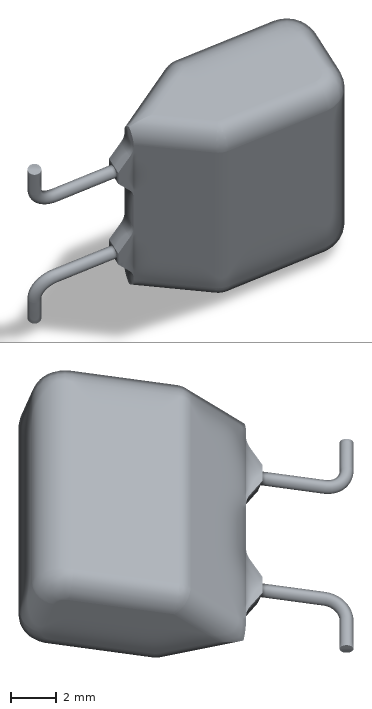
import cadquery as cq
import math

length = 14.9
body_width = 5.3
body_height = 11.9

nose_distance = 9.91
shoulder_distance = 6.63
nose_width = 0.9
back_corner_radius = 1.49
edge_radius = 1.0

collar_length = 0.76
collar_tip_height = 0.8
collar_base_height = 3.01
collar_root_radius = 1.0

lead_diameter = 0.61
lead_spacing = 5.9
lead_span = 10.88
bend_radius = 1.0

half_width = body_width / 2
back_y = length / 2
nose_y = back_y - nose_distance
shoulder_y = back_y - shoulder_distance
collar_tip_y = nose_y - collar_length
lead_z = lead_spacing / 2
lead_end_y = -length / 2 + lead_diameter / 2

taper_per_width = (shoulder_y - nose_y) / (half_width - nose_width / 2)
apex_y = shoulder_y - half_width * taper_per_width


def make_body():
    outline = [
        (-half_width, back_y),
        (half_width, back_y),
        (half_width, shoulder_y),
        (0, apex_y),
        (-half_width, shoulder_y),
    ]
    body = cq.Workplane("XY").polyline(outline).close().extrude(body_height / 2, both=True)
    body = body.edges("|Z and >Y").fillet(back_corner_radius)
    shoulders = cq.selectors.BoxSelector(
        (-body_width, shoulder_y - edge_radius, -body_height),
        (body_width, shoulder_y + edge_radius, body_height),
    )
    body = body.edges("|Z").edges(shoulders).fillet(edge_radius)
    body = body.faces("|Z").edges().fillet(edge_radius)
    keep = cq.Workplane("XY").box(body_width * 2, nose_distance, body_height * 2)
    return body.intersect(keep.translate((0, nose_y + nose_distance / 2, 0)))


def make_collar():
    """Tapered collar for the upper lead, flared into the nose by concave arcs."""
    tip_half = collar_tip_height / 2
    base_half = collar_base_height / 2
    slope_angle = math.atan2(collar_length, base_half - tip_half)
    tangent_length = collar_root_radius * math.tan(slope_angle / 2)
    arc_end = base_half + tangent_length
    arc_start = base_half - tangent_length * math.cos(slope_angle)
    arc_start_y = nose_y - tangent_length * math.sin(slope_angle)
    arc_mid = arc_end - collar_root_radius * math.sin(slope_angle / 2)
    arc_mid_y = nose_y - collar_root_radius * (1 - math.cos(slope_angle / 2))
    return (
        cq.Workplane("YZ", origin=(0, 0, lead_z))
        .moveTo(nose_y, arc_end)
        .threePointArc((arc_mid_y, arc_mid), (arc_start_y, arc_start))
        .lineTo(collar_tip_y, tip_half)
        .lineTo(collar_tip_y, -tip_half)
        .lineTo(arc_start_y, -arc_start)
        .threePointArc((arc_mid_y, -arc_mid), (nose_y, -arc_end))
        .lineTo(nose_y + collar_length, -arc_end)
        .lineTo(nose_y + collar_length, arc_end)
        .close()
        .extrude(nose_width / 2, both=True)
    )


def make_lead():
    """Upper lead: straight out of the nose, then bent upwards."""
    bend_start_y = lead_end_y + bend_radius
    diagonal = bend_radius * math.sqrt(0.5)
    path = (
        cq.Workplane("YZ")
        .moveTo(nose_y, lead_z)
        .lineTo(bend_start_y, lead_z)
        .threePointArc(
            (bend_start_y - diagonal, lead_z + bend_radius - diagonal),
            (lead_end_y, lead_z + bend_radius),
        )
        .lineTo(lead_end_y, lead_span / 2)
    )
    section = cq.Workplane("XZ", origin=(0, nose_y, lead_z)).circle(lead_diameter / 2)
    return section.sweep(path)


terminal = make_collar().union(make_lead())
result = make_body().union(terminal).union(terminal.mirror("XY"))